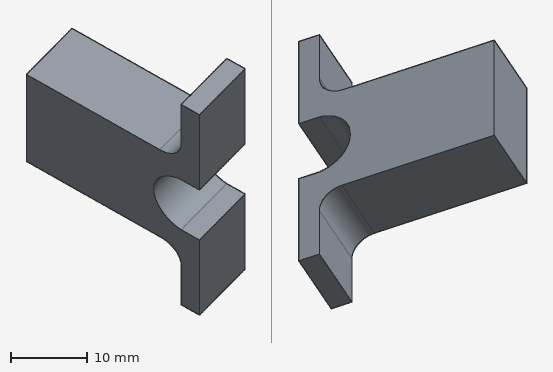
import cadquery as cq

length = 28.3
width = 10.0
height = 40.0

flange_thickness = 3.0
block_bottom = 11.2
block_top = 28.55
top_fillet_radius = 3.5
bottom_fillet_radius = 3.3

slot_height = 10.0
slot_depth = 7.5

flange_face = length - flange_thickness


def box_between(x_start, x_end, z_start, z_end):
    """Full-width box spanning the given X and Z limits."""
    return cq.Workplane("XY").box(
        x_end - x_start, width, z_end - z_start, centered=False
    ).translate((x_start, 0, z_start))


def round_inner_corner(body, corner_z, radius):
    """Fillet the inner edge where the block meets the flange."""
    corner = cq.selectors.NearestToPointSelector((flange_face, width / 2, corner_z))
    return body.edges("|Y").edges(corner).fillet(radius)


block = box_between(0, length, block_bottom, block_top)
flange = box_between(flange_face, length, 0, height)
body = block.union(flange).clean()
body = round_inner_corner(body, block_top, top_fillet_radius)
body = round_inner_corner(body, block_bottom, bottom_fillet_radius)

slot_bottom = (height - slot_height) / 2
slot_top = slot_bottom + slot_height
slot = (
    cq.Workplane("XZ")
    .moveTo(length, slot_bottom)
    .lineTo(flange_face, slot_bottom)
    .threePointArc((length - slot_depth, height / 2), (flange_face, slot_top))
    .lineTo(length, slot_top)
    .close()
    .extrude(-width)
)

result = body.cut(slot)